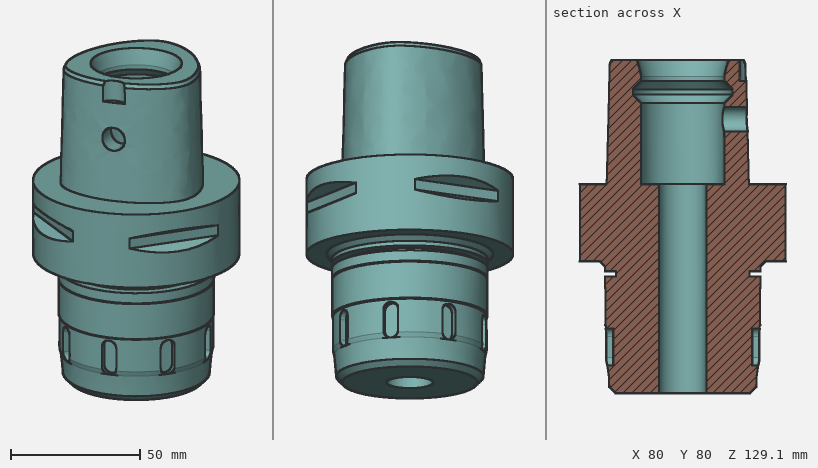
import cadquery as cq
import math

TOTAL_HEIGHT = 129.1
FLANGE_TOP_Z = 81.1
FLANGE_BOTTOM_Z = 51.1

FLANGE_RADIUS = 40.0
NOTCH_COUNT = 4
NOTCH_FIRST_ANGLE = 45.0
NOTCH_FLOOR_DISTANCE = 35.4
NOTCH_FLOOR_HEIGHT = 4.1
NOTCH_CENTRE_Z = 69.2
NOTCH_FLANK_ANGLE = 27.0

NECK_BEVEL = 2.1
COLLAR_RADIUS = 30.2
GAP_RADIUS = 26.0
GAP_TOP_Z = 47.3
GAP_BOTTOM_Z = 45.3
RING_RADIUS = 30.2
RING_BOTTOM_Z = 41.2
NUT_RADIUS = 30.1
NUT_BEVEL = 0.4
NUT_STEP_Z = 26.5
GRIP_RADIUS = 29.8
GRIP_BOTTOM_Z = 12.9
NOSE_TOP_RADIUS = 29.3
NOSE_TOP_Z = 11.0
NOSE_BOTTOM_RADIUS = 28.5
NOSE_CHAMFER = 2.5

SLOT_COUNT = 8
SLOT_WIDTH = 6.0
SLOT_TOP_Z = 25.0
SLOT_BOTTOM_Z = 11.0
SLOT_FLOOR_DISTANCE = 27.0

SHANK_MEAN_RADIUS = 27.6
LOBE_HEIGHT = 2.0
LOBE_COUNT = 3
LOBE_ANGLE = math.pi / 2
OUTLINE_POINTS = 24
TAPER_ON_RADIUS = 1 / 40
SHANK_CHAMFER_HEIGHT = 1.7
SHANK_CHAMFER_WIDTH = 0.8

KEYWAY_RADIUS = 5.5
KEYWAY_AXIS_Y = -27.6
KEYWAY_DEPTH = 8.1
CROSS_HOLE_RADIUS = 4.6
CROSS_HOLE_Z = 106.1

MOUTH_RADIUS = 17.7
BORE_RADIUS = 16.0
MOUTH_CONE_DEPTH = 6.3
BORE_GROOVE_RADIUS = 19.2
BORE_GROOVE_START_DEPTH = 8.1
BORE_GROOVE_END_DEPTH = 16.7
BORE_FLOOR_Z = FLANGE_TOP_Z
THROUGH_HOLE_RADIUS = 9.0


def revolve_profile(points):
    """Revolve a closed (radius, z) outline round the Z axis."""
    return cq.Workplane("XZ").polyline(points).close().revolve(360, (0, 0, 0), (0, 1, 0))


def lobed_point(mean_radius, angle):
    """Point of the lobed outline where the outward normal has the given angle.

    The distance from the axis to the tangent line varies as a cosine of three times its angle.
    """
    phase = LOBE_COUNT * (angle - LOBE_ANGLE)
    distance = mean_radius + LOBE_HEIGHT * math.cos(phase)
    slope = -LOBE_COUNT * LOBE_HEIGHT * math.sin(phase)
    x = distance * math.cos(angle) - slope * math.sin(angle)
    y = distance * math.sin(angle) + slope * math.cos(angle)
    return x, y


def lobed_wire(mean_radius, z):
    """Closed smooth lobed outline at height z, starting on the -Y side."""
    step = 2 * math.pi / OUTLINE_POINTS
    points = [lobed_point(mean_radius, index * step - math.pi / 2) for index in range(OUTLINE_POINTS)]
    outline = cq.Workplane("XY", origin=(0, 0, z)).spline(points, periodic=True)
    return cq.Wire.assembleEdges(outline.edges().vals())


def lobed_frustum(bottom_z, bottom_radius, top_z, top_radius):
    """Lobed solid narrowing from one mean radius to another."""
    wires = [lobed_wire(bottom_radius, bottom_z), lobed_wire(top_radius, top_z)]
    return cq.Workplane(cq.Solid.makeLoft(wires, ruled=True))


def make_turned_body():
    """Flange, neck, lock ring and nut in one revolved outline."""
    return revolve_profile([
        (0, 0),
        (NOSE_BOTTOM_RADIUS - NOSE_CHAMFER, 0),
        (NOSE_BOTTOM_RADIUS, NOSE_CHAMFER),
        (NOSE_TOP_RADIUS, NOSE_TOP_Z),
        (GRIP_RADIUS, GRIP_BOTTOM_Z),
        (GRIP_RADIUS, NUT_STEP_Z - NUT_BEVEL),
        (NUT_RADIUS, NUT_STEP_Z),
        (NUT_RADIUS, RING_BOTTOM_Z - NUT_BEVEL),
        (RING_RADIUS, RING_BOTTOM_Z),
        (RING_RADIUS, GAP_BOTTOM_Z),
        (GAP_RADIUS, GAP_BOTTOM_Z),
        (GAP_RADIUS, GAP_TOP_Z),
        (COLLAR_RADIUS, GAP_TOP_Z),
        (COLLAR_RADIUS, FLANGE_BOTTOM_Z - NECK_BEVEL),
        (COLLAR_RADIUS + NECK_BEVEL, FLANGE_BOTTOM_Z),
        (FLANGE_RADIUS, FLANGE_BOTTOM_Z),
        (FLANGE_RADIUS, FLANGE_TOP_Z),
        (0, FLANGE_TOP_Z),
    ])


def make_shank():
    """Tapered lobed shank with a steep chamfer at its end."""
    chamfer_z = TOTAL_HEIGHT - SHANK_CHAMFER_HEIGHT
    chamfer_radius = SHANK_MEAN_RADIUS - TAPER_ON_RADIUS * (chamfer_z - FLANGE_TOP_Z)
    end_radius = chamfer_radius - SHANK_CHAMFER_WIDTH
    taper = lobed_frustum(FLANGE_TOP_Z, SHANK_MEAN_RADIUS, chamfer_z, chamfer_radius)
    tip = lobed_frustum(chamfer_z, chamfer_radius, TOTAL_HEIGHT, end_radius)
    return taper.union(tip)


def make_bore():
    """Stepped bore: conical mouth, inner groove with 45 degree flanks, main bore, through hole."""
    groove_depth = BORE_GROOVE_RADIUS - BORE_RADIUS
    groove_top_z = TOTAL_HEIGHT - BORE_GROOVE_START_DEPTH
    groove_bottom_z = TOTAL_HEIGHT - BORE_GROOVE_END_DEPTH
    return revolve_profile([
        (0, 0),
        (THROUGH_HOLE_RADIUS, 0),
        (THROUGH_HOLE_RADIUS, BORE_FLOOR_Z),
        (BORE_RADIUS, BORE_FLOOR_Z),
        (BORE_RADIUS, groove_bottom_z),
        (BORE_GROOVE_RADIUS, groove_bottom_z + groove_depth),
        (BORE_GROOVE_RADIUS, groove_top_z - groove_depth),
        (BORE_RADIUS, groove_top_z),
        (BORE_RADIUS, TOTAL_HEIGHT - MOUTH_CONE_DEPTH),
        (MOUTH_RADIUS, TOTAL_HEIGHT),
        (0, TOTAL_HEIGHT),
    ])


def make_notch():
    """Trapezoidal groove cutting straight across the +X side of the flange."""
    depth = FLANGE_RADIUS - NOTCH_FLOOR_DISTANCE
    half_floor = NOTCH_FLOOR_HEIGHT / 2
    half_mouth = half_floor + depth * math.tan(math.radians(NOTCH_FLANK_ANGLE))
    return (
        cq.Workplane("XZ", origin=(0, 0, NOTCH_CENTRE_Z))
        .polyline([
            (NOTCH_FLOOR_DISTANCE, -half_floor),
            (FLANGE_RADIUS, -half_mouth),
            (FLANGE_RADIUS, half_mouth),
            (NOTCH_FLOOR_DISTANCE, half_floor),
        ])
        .close()
        .extrude(FLANGE_RADIUS, both=True)
    )


def make_spanner_slot():
    """Upright round-ended slot with a flat floor, on the +X side of the nut."""
    slot_centre_z = (SLOT_TOP_Z + SLOT_BOTTOM_Z) / 2
    return (
        cq.Workplane("YZ", origin=(SLOT_FLOOR_DISTANCE, 0, slot_centre_z))
        .slot2D(SLOT_TOP_Z - SLOT_BOTTOM_Z, SLOT_WIDTH, 90)
        .extrude(FLANGE_RADIUS - SLOT_FLOOR_DISTANCE)
    )


def make_keyway():
    """Round-backed keyway cut down from the shank end."""
    return (
        cq.Workplane("XY", origin=(0, KEYWAY_AXIS_Y, TOTAL_HEIGHT - KEYWAY_DEPTH))
        .circle(KEYWAY_RADIUS)
        .extrude(KEYWAY_DEPTH)
    )


def make_cross_hole():
    """Radial hole from the -Y side of the shank into the bore."""
    return (
        cq.Workplane("XZ", origin=(0, 0, CROSS_HOLE_Z))
        .circle(CROSS_HOLE_RADIUS)
        .extrude(FLANGE_RADIUS)
    )


def cut_around_axis(body, cutter, count, first_angle):
    """Cut evenly spaced copies of a cutter round the Z axis."""
    for index in range(count):
        angle = first_angle + index * 360 / count
        body = body.cut(cutter.rotate((0, 0, 0), (0, 0, 1), angle))
    return body


result = make_turned_body().union(make_shank())
result = result.cut(make_bore())
result = cut_around_axis(result, make_notch(), NOTCH_COUNT, NOTCH_FIRST_ANGLE)
result = cut_around_axis(result, make_spanner_slot(), SLOT_COUNT, 0)
result = result.cut(make_keyway())
result = result.cut(make_cross_hole())